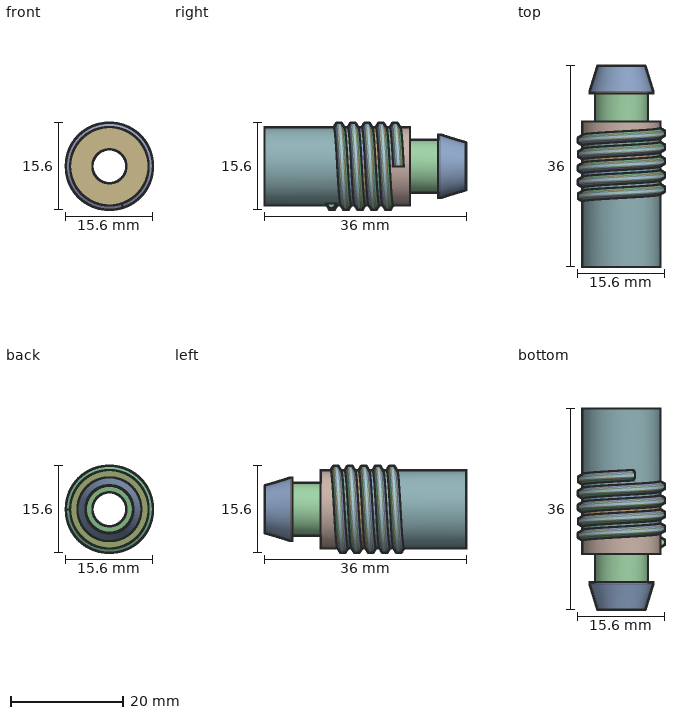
import cadquery as cq
import math

total_length = 36.0
barb_length = 5.0
neck_length = 5.0
body_length = total_length - barb_length - neck_length

body_diameter = 14.0
neck_diameter = 9.5
barb_diameter = 11.4
tip_diameter = 8.6
bore_diameter = 6.0

barb_rim = 0.32
tip_chamfer = 0.1

thread_diameter = 15.6
thread_length = 12.0
thread_turns = 4.8
thread_start = 11.9
thread_start_angle = 72.0
crest_width = 0.85
flank_angle = 30.0
thread_rounding = 0.25
root_sink = 0.018
thread_embed = 0.35


def turned_body():
    """Body, neck and barb as one solid of revolution about Y."""
    barb_start = body_length + neck_length
    points = [
        (0, 0),
        (body_diameter / 2, 0),
        (body_diameter / 2, body_length),
        (neck_diameter / 2, body_length),
        (neck_diameter / 2, barb_start),
        (barb_diameter / 2, barb_start),
        (barb_diameter / 2, barb_start + barb_rim),
        (tip_diameter / 2, total_length - tip_chamfer),
        (tip_diameter / 2 - tip_chamfer, total_length),
        (0, total_length),
    ]
    return cq.Workplane("XY").polyline(points).close().revolve(360, (0, 0), (0, 1))


def thread_ridge():
    """Right-hand helical ridge with rounded crest edges and rounded root."""
    root_radius = body_diameter / 2 - root_sink
    crest_radius = thread_diameter / 2
    foot_radius = root_radius - thread_embed
    flank = math.radians(flank_angle)

    crest_half = crest_width / 2
    root_half = crest_half + (crest_radius - root_radius) * math.tan(flank)

    half_turn = (math.pi / 2 - flank) / 2
    tangent = thread_rounding * math.tan(half_turn)
    arc_side = thread_rounding * math.sin(half_turn)
    arc_rise = thread_rounding * (1 - math.cos(half_turn))
    along = tangent * math.sin(flank)
    inward = tangent * math.cos(flank)

    crest_flat = crest_half - tangent
    foot_half = root_half + tangent
    profile = (
        cq.Workplane("XZ")
        .moveTo(foot_radius, -foot_half)
        .lineTo(root_radius, -foot_half)
        .threePointArc(
            (root_radius + arc_rise, -foot_half + arc_side),
            (root_radius + inward, -root_half + along),
        )
        .lineTo(crest_radius - inward, -crest_half - along)
        .threePointArc(
            (crest_radius - arc_rise, -crest_flat - arc_side),
            (crest_radius, -crest_flat),
        )
        .lineTo(crest_radius, crest_flat)
        .threePointArc(
            (crest_radius - arc_rise, crest_flat + arc_side),
            (crest_radius - inward, crest_half + along),
        )
        .lineTo(root_radius + inward, root_half - along)
        .threePointArc(
            (root_radius + arc_rise, foot_half - arc_side),
            (root_radius, foot_half),
        )
        .lineTo(foot_radius, foot_half)
        .close()
    )
    pitch = thread_length / thread_turns
    helix = cq.Wire.makeHelix(pitch, thread_length, body_diameter / 2)
    ridge = profile.sweep(cq.Workplane(obj=helix), isFrenet=True)

    return (
        ridge.rotate((0, 0, 0), (0, 0, 1), thread_start_angle)
        .rotate((0, 0, 0), (1, 0, 0), -90)
        .translate((0, thread_start, 0))
    )


def bore():
    """Through hole along the full length."""
    return cq.Workplane("XZ").circle(bore_diameter / 2).extrude(-total_length)


result = turned_body().union(thread_ridge()).cut(bore())